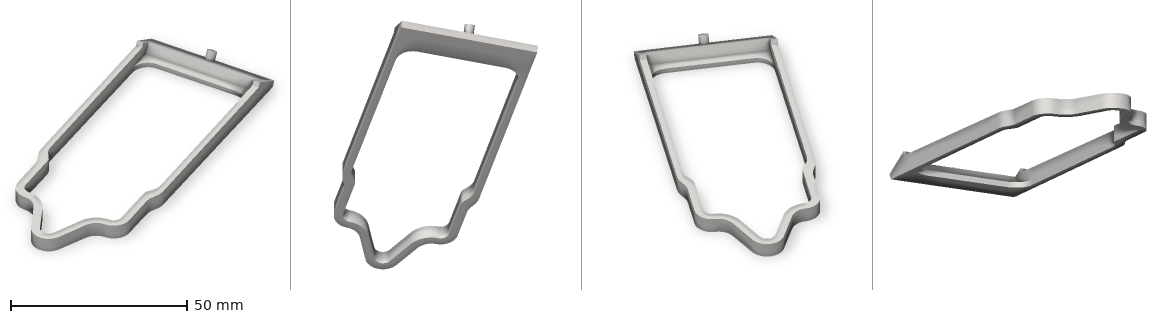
import cadquery as cq
import math

HALF_WIDTH = 20.0
RAIL_WIDTH = 2.0
NECK_HALF_WIDTH = 18.1
WALL = 2.5
BEND_RADIUS = 5.0
UPPER_KINK_RADIUS = 6.0
SHOULDER_Y = 14.3
OUTER_KINK_TOP_Y = 34.5
OUTER_KINK_BOTTOM_Y = 30.5
INNER_KINK_TOP_Y = 36.3
INNER_KINK_BOTTOM_Y = 32.9
OPENING_END_Y = 90.4

TIP_HEIGHT = 4.4
RAIL_END_HEIGHT = 5.2
SLOPE_ANGLE = 30.0
NOSE_Y = 100.0
NOSE_HEIGHT = 1.7
PEAK_Y = 91.6

RECESS_Y = 94.7
LEDGE_HEIGHT = 1.6

PIN_RADIUS = 1.46
PIN_LENGTH = 2.8
PIN_EMBED = 0.5
PIN_BACK_Y = 100.8

INNER_HALF_WIDTH = HALF_WIDTH - RAIL_WIDTH
SLOPE = math.tan(math.radians(SLOPE_ANGLE))
CUT_HEIGHT = 20.2


def slope_height(y):
    return NOSE_HEIGHT + (NOSE_Y - y) * SLOPE


def loop_prism(back_y, half_width, inset, kink_top_y, kink_bottom_y, kink_radii):
    """Solid inside one frame contour; inset is the offset from the outer neck and tip."""
    neck_x = NECK_HALF_WIDTH - inset
    convex_radius = BEND_RADIUS - inset
    concave_radius = BEND_RADIUS + inset
    valley_x = NECK_HALF_WIDTH - BEND_RADIUS
    valley_y = SHOULDER_Y - BEND_RADIUS
    corner_y = SHOULDER_Y + BEND_RADIUS

    rise = valley_y - BEND_RADIUS
    angle = math.acos(2 * BEND_RADIUS / math.hypot(valley_x, rise)) - math.atan2(rise, valley_x)
    normal_x = math.cos(angle)
    normal_y = -math.sin(angle)
    tip_point = (convex_radius * normal_x, BEND_RADIUS + convex_radius * normal_y)
    flank_end = (valley_x - concave_radius * normal_x, valley_y - concave_radius * normal_y)
    mid_angle = (math.pi - angle + math.pi / 2) / 2
    valley_mid = (
        valley_x + concave_radius * math.cos(mid_angle),
        valley_y + concave_radius * math.sin(mid_angle),
    )
    corner_mid = (
        valley_x + convex_radius * math.sqrt(0.5),
        corner_y - convex_radius * math.sqrt(0.5),
    )
    half = (
        cq.Workplane("XY")
        .moveTo(0, inset)
        .radiusArc(tip_point, -convex_radius)
        .lineTo(*flank_end)
        .threePointArc(valley_mid, (valley_x, SHOULDER_Y + inset))
        .threePointArc(corner_mid, (neck_x, corner_y))
        .lineTo(neck_x, kink_bottom_y)
        .lineTo(half_width, kink_top_y)
        .lineTo(half_width, back_y)
        .lineTo(0, back_y)
        .close()
        .extrude(CUT_HEIGHT)
    )
    kinks = ((half_width, kink_top_y), (neck_x, kink_bottom_y))
    for (x, y), radius in zip(kinks, kink_radii):
        half = half.edges(cq.selectors.NearestToPointSelector((x, y, CUT_HEIGHT / 2))).fillet(radius)
    return half.union(half.mirror("YZ"))


def side_envelope():
    """Side profile of the rails, extruded over the full width."""
    peak_height = slope_height(PEAK_Y)
    rail_end_y = PEAK_Y - (peak_height - RAIL_END_HEIGHT) * SLOPE
    return (
        cq.Workplane("YZ")
        .moveTo(0, 0)
        .lineTo(NOSE_Y - NOSE_HEIGHT * SLOPE, 0)
        .lineTo(NOSE_Y, NOSE_HEIGHT)
        .lineTo(PEAK_Y, peak_height)
        .lineTo(rail_end_y, RAIL_END_HEIGHT)
        .lineTo(0, TIP_HEIGHT)
        .close()
        .extrude(HALF_WIDTH, both=True)
    )


def opening():
    """Through opening with rounded corners at the back."""
    prism = loop_prism(
        OPENING_END_Y, INNER_HALF_WIDTH, WALL,
        INNER_KINK_TOP_Y, INNER_KINK_BOTTOM_Y, (BEND_RADIUS, WALL),
    )
    return prism.edges("|Z and >Y").fillet(BEND_RADIUS)


def recess():
    """Space above the ledge, backed by a face square to the slope."""
    recess_height = slope_height(RECESS_Y)
    ledge_back_y = RECESS_Y - (recess_height - LEDGE_HEIGHT) * SLOPE
    front_y = OPENING_END_Y - BEND_RADIUS
    top_y = RECESS_Y + (CUT_HEIGHT - recess_height) * SLOPE
    return (
        cq.Workplane("YZ")
        .moveTo(front_y, LEDGE_HEIGHT)
        .lineTo(ledge_back_y, LEDGE_HEIGHT)
        .lineTo(top_y, CUT_HEIGHT)
        .lineTo(front_y, CUT_HEIGHT)
        .close()
        .extrude(INNER_HALF_WIDTH, both=True)
    )


def pin():
    """Round pin, slightly embedded in the slope."""
    axis_y = math.sin(math.radians(SLOPE_ANGLE))
    axis_z = math.cos(math.radians(SLOPE_ANGLE))
    foot_y = PIN_BACK_Y - PIN_RADIUS * axis_z - PIN_LENGTH * axis_y
    start = cq.Vector(0, foot_y - PIN_EMBED * axis_y, slope_height(foot_y) - PIN_EMBED * axis_z)
    direction = cq.Vector(0, axis_y, axis_z)
    return cq.Solid.makeCylinder(PIN_RADIUS, PIN_LENGTH + PIN_EMBED, start, direction)


outer = loop_prism(
    PIN_BACK_Y, HALF_WIDTH, 0,
    OUTER_KINK_TOP_Y, OUTER_KINK_BOTTOM_Y, (UPPER_KINK_RADIUS, BEND_RADIUS),
)
result = outer.intersect(side_envelope()).cut(opening()).cut(recess()).union(pin())